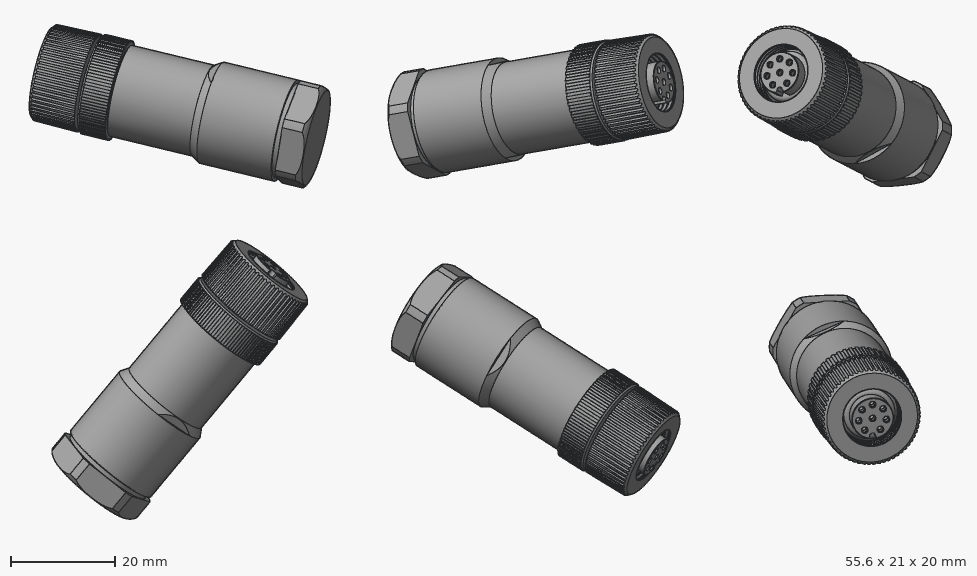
import cadquery as cq
import math

total_length = 55.55

nut_front = 0.65
nut_rear = 9.95
nut_face_dia = 17.65
nut_front_dia = 19.0
nut_rear_dia = 19.35
nut_chamfer_length = 0.65
nut_bore_dia = 11.2
nut_mouth_dia = 11.5
thread_major_dia = 12.0
thread_pitch = 1.0
thread_groove_width = 0.8
thread_turns = 4
thread_start = 0.7
nut_groove_count = 60
nut_groove_radius = 0.3

insert_dia = 8.1
insert_chamfer = 0.1
shoulder_dia = 10.0
shoulder_x = 2.8
shoulder_rear = 4.45
bore_floor_x = 5.0
shoulder_round = (shoulder_dia - insert_dia) / 2

contact_circle_radius = 2.7
contact_spacing_deg = 48.7
contacts_each_side = 3
contact_mouth_dia = 1.3
contact_dia = 1.0
contact_tip_dia = 0.9
contact_step_depth = 0.55
contact_depth = 1.65
contact_tip_length = 0.45
key_groove_top = 2.9
key_groove_top_dia = 1.1
key_groove_mouth_width = 1.65

neck_dia = 13.0
ring_front = 10.55
ring_teeth_front = 10.95
ring_rear = 16.2
undercut_rear = 16.45
ring_dia = 19.65
ring_root_dia = 19.2
ring_lip_dia = 18.8
ring_tooth_count = 50

undercut_dia = 17.2
body_dia = 18.0
shell_dia = 20.0
cone_front = 33.0
cone_rear = 34.65
shell_rear = 49.55
flat_distance = 9.05
flat_tilt_deg = 22.0

gland_dia = 18.6
hex_front = 50.55
hex_across_flats = 19.0
hex_turn_deg = 30.0
hex_corner_dia = 21.0
hex_crown_length = 0.95
hex_crown_middle_dia = 19.8
hex_crown_middle_from_end = 0.35


def cylinder(dia, x_from, x_to):
    """Round bar along X."""
    return cq.Workplane("YZ", origin=(x_from, 0, 0)).circle(dia / 2).extrude(x_to - x_from)


def revolve_about_x(profile):
    """Turn a closed XY profile around the X axis."""
    return profile.close().revolve(360, (0, 0, 0), (1, 0, 0))


def point_at(radius, angle_deg):
    """Point in the YZ plane at an angle counted from +Y toward +Z."""
    angle = math.radians(angle_deg)
    return radius * math.cos(angle), radius * math.sin(angle)


def make_nut():
    """Slightly tapered nut with knurl grooves and a bore ringed by V-shaped thread grooves."""
    chamfer_end = nut_front + nut_chamfer_length
    blank = revolve_about_x(
        cq.Workplane("XY")
        .moveTo(nut_front, 0)
        .lineTo(nut_front, nut_face_dia / 2)
        .lineTo(chamfer_end, nut_front_dia / 2)
        .lineTo(nut_rear, nut_rear_dia / 2)
        .lineTo(nut_rear, 0)
    )
    grooves = (
        cq.Workplane("YZ")
        .polarArray(nut_front_dia / 2, 0, 360, nut_groove_count)
        .circle(nut_groove_radius)
        .extrude(nut_rear)
    )
    mouth_chamfer = (nut_mouth_dia - nut_bore_dia) / 2
    bore = (
        cq.Workplane("XY")
        .moveTo(nut_front, 0)
        .lineTo(nut_front, nut_mouth_dia / 2)
        .lineTo(nut_front + mouth_chamfer, nut_bore_dia / 2)
    )
    for turn in range(thread_turns):
        groove_middle = nut_front + thread_start + turn * thread_pitch
        bore = (
            bore.lineTo(groove_middle - thread_groove_width / 2, nut_bore_dia / 2)
            .lineTo(groove_middle, thread_major_dia / 2)
            .lineTo(groove_middle + thread_groove_width / 2, nut_bore_dia / 2)
        )
    bore = revolve_about_x(bore.lineTo(bore_floor_x, nut_bore_dia / 2).lineTo(bore_floor_x, 0))
    return blank.cut(grooves).cut(bore)


def make_socket():
    """Contact carrier with a rounded shoulder that flares out to the bore wall."""
    arc_offset = shoulder_round * math.sqrt(0.5)
    arc_centre_x = shoulder_x + shoulder_round
    return revolve_about_x(
        cq.Workplane("XY")
        .lineTo(0, insert_dia / 2 - insert_chamfer)
        .lineTo(insert_chamfer, insert_dia / 2)
        .lineTo(shoulder_x, insert_dia / 2)
        .threePointArc(
            (arc_centre_x - arc_offset, insert_dia / 2 + arc_offset),
            (arc_centre_x, shoulder_dia / 2),
        )
        .lineTo(shoulder_rear, nut_bore_dia / 2)
        .lineTo(bore_floor_x, nut_bore_dia / 2)
        .lineTo(bore_floor_x, 0)
    )


def contact_positions():
    """Centre contact plus an open ring of contacts, symmetric about +Z."""
    steps = range(-contacts_each_side, contacts_each_side + 1)
    ring = [point_at(contact_circle_radius, 90 + step * contact_spacing_deg) for step in steps]
    return [(0, 0)] + ring


def make_contact_hole():
    """Stepped hole on the X axis with a conical bottom."""
    return revolve_about_x(
        cq.Workplane("XY")
        .lineTo(0, contact_mouth_dia / 2)
        .lineTo(contact_step_depth, contact_mouth_dia / 2)
        .lineTo(contact_step_depth, contact_dia / 2)
        .lineTo(contact_depth, contact_dia / 2)
        .lineTo(contact_depth, contact_tip_dia / 2)
        .lineTo(contact_depth + contact_tip_length, 0)
    )


def make_key_groove():
    """Round-topped groove along the -Z side of the contact carrier, flaring outward."""
    arch_radius = key_groove_top_dia / 2
    arch_centre = key_groove_top + arch_radius
    mouth = insert_dia / 2
    return (
        cq.Workplane("YZ")
        .moveTo(-key_groove_mouth_width / 2, -mouth)
        .lineTo(-arch_radius, -arch_centre)
        .threePointArc((0, -key_groove_top), (arch_radius, -arch_centre))
        .lineTo(key_groove_mouth_width / 2, -mouth)
        .close()
        .extrude(shoulder_x)
    )


def make_ring():
    """Grip ring with square teeth and a smooth tapered front lip."""
    half_pitch = 180 / ring_tooth_count
    outer = ring_dia / 2
    root = ring_root_dia / 2
    outline = cq.Workplane("YZ", origin=(ring_teeth_front, 0, 0)).moveTo(outer, 0)
    for tooth in range(ring_tooth_count):
        start = 2 * tooth * half_pitch
        middle = start + half_pitch
        end = middle + half_pitch
        outline = (
            outline.threePointArc(point_at(outer, start + half_pitch / 2), point_at(outer, middle))
            .lineTo(*point_at(root, middle))
            .threePointArc(point_at(root, middle + half_pitch / 2), point_at(root, end))
            .lineTo(*point_at(outer, end))
        )
    teeth = outline.close().extrude(ring_rear - ring_teeth_front)
    lip = revolve_about_x(
        cq.Workplane("XY")
        .moveTo(ring_front, 0)
        .lineTo(ring_front, ring_lip_dia / 2)
        .lineTo(ring_teeth_front, ring_root_dia / 2)
        .lineTo(ring_teeth_front, 0)
    )
    return teeth.union(lip)


def make_housing():
    """Undercut, round body, cone, shell and gland in one turned piece."""
    return revolve_about_x(
        cq.Workplane("XY")
        .moveTo(ring_rear, 0)
        .lineTo(ring_rear, undercut_dia / 2)
        .lineTo(undercut_rear, undercut_dia / 2)
        .lineTo(undercut_rear, body_dia / 2)
        .lineTo(cone_front, body_dia / 2)
        .lineTo(cone_rear, shell_dia / 2)
        .lineTo(shell_rear, shell_dia / 2)
        .lineTo(shell_rear, gland_dia / 2)
        .lineTo(hex_front, gland_dia / 2)
        .lineTo(hex_front, 0)
    )


def make_cone_flats():
    """Two opposite cutters, turned about X, that leave flats on the cone."""
    flats = cq.Workplane("XY")
    for side_turn in (0, 180):
        flat = cq.Workplane("XY").box(
            cone_rear - cone_front, shell_dia, shell_dia, centered=(False, True, False)
        )
        flat = flat.translate((cone_front, 0, flat_distance))
        flats = flats.add(flat.rotate((0, 0, 0), (1, 0, 0), side_turn - flat_tilt_deg))
    return flats


def make_hex_nut():
    """Hexagon with flats facing +Z and -Z, turned down at the corners and crowned at the end."""
    hexagon = (
        cq.Workplane("YZ", origin=(hex_front, 0, 0))
        .polygon(6, hex_across_flats, circumscribed=True)
        .extrude(total_length - hex_front)
        .rotate((0, 0, 0), (1, 0, 0), hex_turn_deg)
    )
    turned = revolve_about_x(
        cq.Workplane("XY")
        .moveTo(hex_front, 0)
        .lineTo(hex_front, hex_corner_dia / 2)
        .lineTo(total_length - hex_crown_length, hex_corner_dia / 2)
        .threePointArc(
            (total_length - hex_crown_middle_from_end, hex_crown_middle_dia / 2),
            (total_length, gland_dia / 2),
        )
        .lineTo(total_length, 0)
    )
    return hexagon.intersect(turned)


socket = make_socket().cut(make_key_groove())
contact_hole = make_contact_hole()
for hole_y, hole_z in contact_positions():
    socket = socket.cut(contact_hole.translate((0, hole_y, hole_z)))

housing = make_housing()
for cutter in make_cone_flats().vals():
    housing = housing.cut(cq.Workplane(cutter))

connector = (
    make_nut()
    .union(socket)
    .union(cylinder(neck_dia, nut_rear, ring_front))
    .union(make_ring())
    .union(housing)
    .union(make_hex_nut())
)

result = cq.Workplane(connector.solids().val())